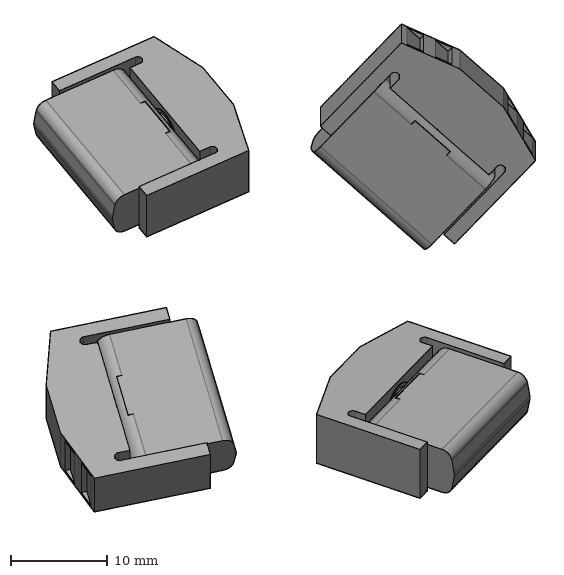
import cadquery as cq
import math


housing_width = 19.04
housing_height = 6.3
housing_back = 6.5
arm_length = 8.0
arm_width = 1.52
flat_back_width = 6.2
taper_depth = 2.05

slot_width = 1.0
slot_depth = 1.75

notch_height = 5.5
notch_depth = 0.58
notch_offsets = (0.28, 1.27)

arm_gap = 0.1
block_height = 5.54
block_length = 11.2
back_radius = 1.5
nose_angle = 10.0
nose_radius = 1.35
bevel_angle = 17.0
bevel_height = 0.14
bevel_bottom = 1.78

pad_width = 5.0
pad_offset = 0.95
pad_length = 1.5
pad_shift = 0.1
pin_radius = 2.0
pin_length = 2.0
recess_radius = 2.45
recess_depth = 0.06

half_width = housing_width / 2
arm_inner = half_width - arm_width
taper_start = housing_back - taper_depth
taper_run = half_width - flat_back_width / 2
block_width = 2 * (arm_inner - arm_gap)


def make_housing():
    """Tapered plate with an arm on each side of an open bay."""
    outline = [
        (-half_width, -arm_length),
        (-half_width, taper_start),
        (-flat_back_width / 2, housing_back),
        (flat_back_width / 2, housing_back),
        (half_width, taper_start),
        (half_width, -arm_length),
        (arm_inner, -arm_length),
        (arm_inner, 0),
        (-arm_inner, 0),
        (-arm_inner, -arm_length),
    ]
    plate = cq.Workplane("XY").polyline(outline).close().extrude(housing_height / 2, both=True)
    for side in (-1, 1):
        plate = plate.cut(make_slot(side))
        for offset in notch_offsets:
            plate = plate.cut(make_notch(side, offset))
    return plate.cut(make_recess())


def make_slot(side):
    """Round-ended slot beside one arm, through the full height."""
    radius = slot_width / 2
    straight_end = slot_depth - radius
    return (
        cq.Workplane("XY")
        .center(side * (arm_inner - radius), 0)
        .moveTo(-radius, 0)
        .lineTo(-radius, straight_end)
        .threePointArc((0, slot_depth), (radius, straight_end))
        .lineTo(radius, 0)
        .close()
        .extrude(housing_height / 2, both=True)
    )


def make_notch(side, offset):
    """Triangular notch in a tapered face: its back edge lies `offset` from the housing back."""

    def taper_x(distance):
        """X of the tapered face at a distance in front of the housing back."""
        return side * (flat_back_width / 2 + taper_run * distance / taper_depth)

    far = offset + notch_depth
    corners = [
        (taper_x(offset), housing_back - offset),
        (taper_x(offset), housing_back - far),
        (taper_x(far), housing_back - far),
    ]
    return cq.Workplane("XY").polyline(corners).close().extrude(notch_height / 2, both=True)


def make_recess():
    """Shallow round recess in the bay wall, around the pin."""
    return cq.Workplane("XZ").circle(recess_radius).extrude(-recess_depth)


def make_block():
    """Block with a rounded back and a slightly pointed, rounded front, extruded along X."""
    top = block_height / 2
    nose = math.radians(nose_angle)
    bevel = math.radians(bevel_angle)
    diagonal = math.sqrt(0.5)

    nose_z = nose_radius * math.sin(nose)
    nose_y = -block_length + nose_radius * (1 - math.cos(nose))

    bevel_bottom_y = nose_y + (bevel_bottom - nose_z) * math.tan(nose)
    bevel_top = bevel_bottom + bevel_height
    bevel_top_y = bevel_bottom_y + bevel_height * math.tan(bevel)

    front_radius = (top - bevel_top) / (1 - math.sin(bevel))
    front_y = bevel_top_y + front_radius * math.cos(bevel)
    front_mid = (math.pi / 2 - bevel) / 2
    front_mid_y = front_y - front_radius * math.sin(front_mid)
    front_mid_z = top - front_radius * (1 - math.cos(front_mid))

    back_z = top - back_radius
    back_mid_y = -back_radius * (1 - diagonal)
    back_mid_z = back_z + back_radius * diagonal

    profile = (
        cq.Workplane("YZ")
        .moveTo(0, -back_z)
        .lineTo(0, back_z)
        .threePointArc((back_mid_y, back_mid_z), (-back_radius, top))
        .lineTo(front_y, top)
        .threePointArc((front_mid_y, front_mid_z), (bevel_top_y, bevel_top))
        .lineTo(bevel_bottom_y, bevel_bottom)
        .lineTo(nose_y, nose_z)
        .threePointArc((-block_length, 0), (nose_y, -nose_z))
        .lineTo(bevel_bottom_y, -bevel_bottom)
        .lineTo(bevel_top_y, -bevel_top)
        .threePointArc((front_mid_y, -front_mid_z), (front_y, -top))
        .lineTo(-back_radius, -top)
        .threePointArc((back_mid_y, -back_mid_z), (0, -back_z))
        .close()
    )
    return profile.extrude(block_width / 2, both=True)


def make_pad():
    """Pad that carries the flat faces of the block a little way over the back rounds."""
    pad_center = -pad_offset - pad_length / 2
    return cq.Workplane("XY").box(pad_width, pad_length, block_height).translate((pad_shift, pad_center, 0))


def make_pin():
    """Pin along Y that joins the block to the housing."""
    return cq.Workplane("XZ").circle(pin_radius).extrude(pin_length / 2, both=True)


result = make_housing().union(make_block()).union(make_pad()).union(make_pin())